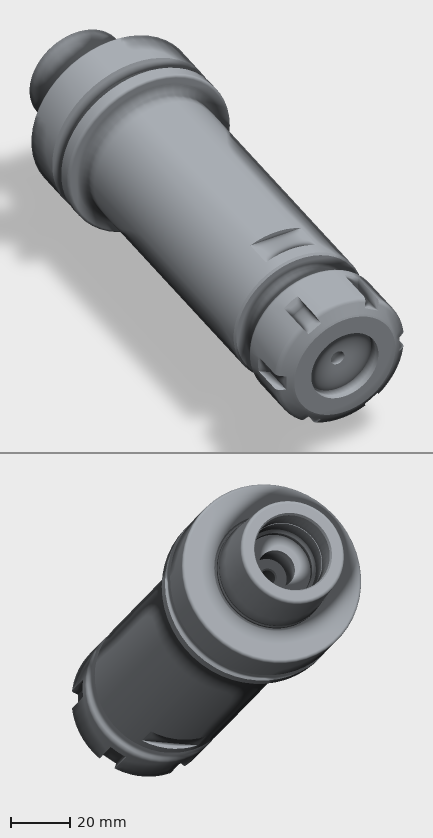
import cadquery as cq
import math


shank_length = 25.0
shank_base_radius = 19.35
shank_slope = 0.05
shank_tip_fillet = 1.1
shank_groove_start = -2.2
shank_groove_end = -0.4
shank_groove_radius = 18.9
shank_groove_chamfer = 0.5
face_recess_radius = 20.4
face_recess_depth = 0.5

flange_radius = 31.5
flange_length = 26.0
flange_fillet = 1.0
gripper_groove_radius = 28.0
gripper_groove_start = 15.0
gripper_floor_start = 16.6
gripper_floor_end = 19.4
gripper_groove_end = 21.2
flange_blend_radius = 2.8

body_radius = 25.0
body_end = 128.6
body_end_chamfer = 0.7
neck_radius = 20.0
neck_fillet = 1.0

thread_start = 135.0
thread_pitch = 1.25
thread_depth = 0.7
visible_thread_turns = 2

flat_start = 112.5
flat_length = 10.7
flat_height = 23.0

shank_bore_radius = 13.2
shank_bore_chamfer_length = 1.0
shank_bore_chamfer_height = 0.5
shank_bore_length = 10.0
middle_bore_radius = 13.0
middle_bore_length = 7.0
bore_cone_length = 1.0
inner_bore_radius = 12.0
inner_bore_length = 2.0
step_bore_radius = 6.5
step_bore_length = 10.0
through_hole_radius = 2.6
through_hole_chamfer = 0.5

nut_start = thread_start + visible_thread_turns * thread_pitch
nut_end = 160.0
nut_radius = body_radius
nut_back_fillet = 2.0
nut_rim_start = 155.6
nut_rim_fillet = 2.3
nut_front_cone_angle = 60.0
nut_end_chamfer_length = 0.3
nut_end_chamfer_height = 0.6
nut_lip = 5.0
nut_opening_radius = 13.0
spigot_end = nut_end - nut_lip

slot_count = 6
slot_outer_width = 6.2
slot_floor_width = 5.6
slot_floor_radius = 21.9
slot_ramp_length = 2.8
short_slot_start = 144.7
long_slot_start = 142.5


def revolve_about_x(profile):
    return profile.close().revolve(360, (0, 0, 0), (1, 0, 0))


def make_body_blank():
    def shank_radius(x):
        return shank_base_radius + shank_slope * x

    shank_tip = -shank_length
    tip_fillet_end = shank_tip + shank_tip_fillet
    groove_floor_start = shank_groove_start + shank_groove_chamfer
    groove_floor_end = shank_groove_end - shank_groove_chamfer
    profile = (
        cq.Workplane("XY")
        .moveTo(shank_tip, 0)
        .lineTo(shank_tip, shank_radius(tip_fillet_end) - shank_tip_fillet)
        .radiusArc((tip_fillet_end, shank_radius(tip_fillet_end)), shank_tip_fillet)
        .lineTo(shank_groove_start, shank_radius(shank_groove_start))
        .lineTo(groove_floor_start, shank_groove_radius)
        .lineTo(groove_floor_end, shank_groove_radius)
        .lineTo(shank_groove_end, shank_radius(shank_groove_end))
        .lineTo(face_recess_depth, shank_radius(shank_groove_end))
        .lineTo(face_recess_depth, face_recess_radius - face_recess_depth)
        .lineTo(0, face_recess_radius)
        .lineTo(0, flange_radius - flange_fillet)
        .radiusArc((flange_fillet, flange_radius), flange_fillet)
        .lineTo(gripper_groove_start, flange_radius)
        .lineTo(gripper_floor_start, gripper_groove_radius)
        .lineTo(gripper_floor_end, gripper_groove_radius)
        .lineTo(gripper_groove_end, flange_radius)
        .lineTo(flange_length - flange_fillet, flange_radius)
        .radiusArc((flange_length, flange_radius - flange_fillet), flange_fillet)
        .lineTo(flange_length, body_radius + flange_blend_radius)
        .radiusArc((flange_length + flange_blend_radius, body_radius), -flange_blend_radius)
        .lineTo(body_end - body_end_chamfer, body_radius)
        .lineTo(body_end, body_radius - body_end_chamfer)
        .lineTo(body_end, neck_radius + neck_fillet)
        .radiusArc((body_end + neck_fillet, neck_radius), -neck_fillet)
        .lineTo(thread_start, neck_radius)
    )
    for turn in range(visible_thread_turns):
        turn_start = thread_start + turn * thread_pitch
        profile = profile.lineTo(turn_start + thread_pitch / 2, neck_radius - thread_depth)
        profile = profile.lineTo(turn_start + thread_pitch, neck_radius)
    profile = profile.lineTo(spigot_end, neck_radius).lineTo(spigot_end, 0)
    return revolve_about_x(profile)


def make_bore_cutter():
    bore_start = -shank_length
    middle_start = bore_start + shank_bore_length
    cone_start = middle_start + middle_bore_length
    cone_end = cone_start + bore_cone_length
    inner_end = cone_end + inner_bore_length
    step_end = inner_end + step_bore_length
    profile = (
        cq.Workplane("XY")
        .moveTo(bore_start, 0)
        .lineTo(bore_start, shank_bore_radius + shank_bore_chamfer_height)
        .lineTo(bore_start + shank_bore_chamfer_length, shank_bore_radius)
        .lineTo(middle_start, shank_bore_radius)
        .lineTo(middle_start, middle_bore_radius)
        .lineTo(cone_start, middle_bore_radius)
        .lineTo(cone_end, inner_bore_radius)
        .lineTo(inner_end, inner_bore_radius)
        .lineTo(inner_end, step_bore_radius)
        .lineTo(step_end, step_bore_radius)
        .lineTo(step_end, through_hole_radius + through_hole_chamfer)
        .lineTo(step_end + through_hole_chamfer, through_hole_radius)
        .lineTo(spigot_end, through_hole_radius)
        .lineTo(spigot_end, 0)
    )
    return revolve_about_x(profile)


def make_flat_cutter(side):
    cut_depth = body_radius - flat_height
    center = (flat_start + flat_length / 2, 0, side * (flat_height + cut_depth / 2))
    return cq.Workplane("XY").box(flat_length, 2 * body_radius, cut_depth).translate(center)


def make_body():
    body = make_body_blank().cut(make_bore_cutter())
    for side in (1, -1):
        body = body.cut(make_flat_cutter(side))
    return body


def make_nut_blank():
    cone_angle = math.radians(nut_front_cone_angle)
    cone_start = nut_rim_start + nut_rim_fillet * math.sin(cone_angle)
    cone_start_radius = nut_radius - nut_rim_fillet * (1 - math.cos(cone_angle))
    cone_end = nut_end - nut_end_chamfer_length
    cone_end_radius = cone_start_radius - (cone_end - cone_start) * math.tan(cone_angle)
    profile = (
        cq.Workplane("XY")
        .moveTo(nut_start, neck_radius)
        .lineTo(nut_start, nut_radius - nut_back_fillet)
        .radiusArc((nut_start + nut_back_fillet, nut_radius), nut_back_fillet)
        .lineTo(nut_rim_start, nut_radius)
        .radiusArc((cone_start, cone_start_radius), nut_rim_fillet)
        .lineTo(cone_end, cone_end_radius)
        .lineTo(nut_end, cone_end_radius - nut_end_chamfer_height)
        .lineTo(nut_end, nut_opening_radius)
        .lineTo(spigot_end, nut_opening_radius)
        .lineTo(spigot_end, neck_radius)
    )
    return revolve_about_x(profile)


def make_slot_cutter(slot_start):
    """Slot on the -Y side: flared side walls and a ramp at the closed end."""
    ramp_profile = (
        cq.Workplane("XY")
        .moveTo(slot_start, -nut_radius)
        .lineTo(slot_start + slot_ramp_length, -slot_floor_radius)
        .lineTo(nut_end, -slot_floor_radius)
        .lineTo(nut_end, -nut_radius)
        .close()
        .extrude(slot_outer_width, both=True)
    )
    cross_section = (
        cq.Workplane("YZ", origin=(slot_start, 0, 0))
        .moveTo(-nut_radius, -slot_outer_width / 2)
        .lineTo(-nut_radius, slot_outer_width / 2)
        .lineTo(-slot_floor_radius, slot_floor_width / 2)
        .lineTo(-slot_floor_radius, -slot_floor_width / 2)
        .close()
        .extrude(nut_end - slot_start)
    )
    return ramp_profile.intersect(cross_section)


def make_nut():
    nut = make_nut_blank()
    for index in range(slot_count):
        angle = index * 360 / slot_count
        on_far_half = 90 < angle < 270
        cutter = make_slot_cutter(long_slot_start if on_far_half else short_slot_start)
        nut = nut.cut(cutter.rotate((0, 0, 0), (1, 0, 0), angle))
    return nut


body = make_body()
nut = make_nut()
result = cq.Compound.makeCompound([body.val(), nut.val()])